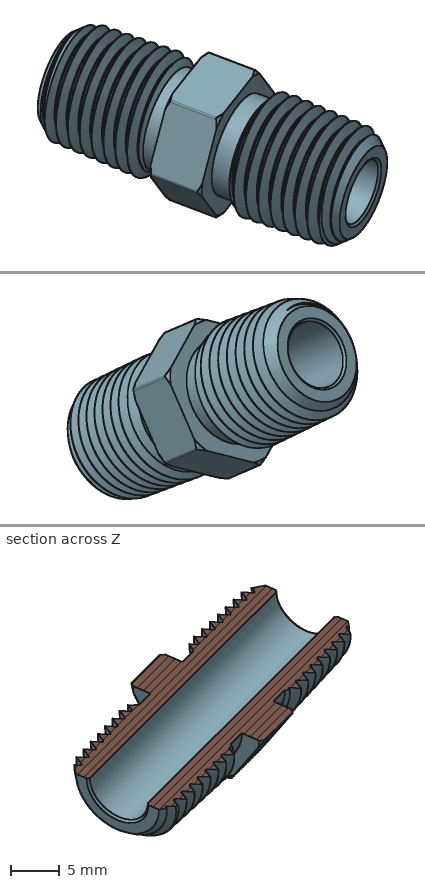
import cadquery as cq
import math

total_length = 35.3
half_length = total_length / 2
hex_width = 6.0
hex_across_flats = 14.2
hex_across_corners = 16.33
hex_sides = 6
neck_radius = 5.63
thread_start = 5.03

bore_radius = 3.55
bore_chamfer = 0.25

hex_face_radius = 7.72
hex_chamfer_slope = 1.35

inch = 25.4
threads_per_inch = 18
pitch = inch / threads_per_inch
diameter_taper = 1 / 16
radius_taper = diameter_taper / 2
apex_radius = 7.02
thread_depth = 1.05
crest_flat = 0.06
flank_angle = math.radians(30)

flank_overlap = 0.05
base_depth = 0.25

bottom_crest = 5.87
outer_turns = 9
ridge_turns = 11

tip_radius = 5.1
tip_slope = 0.85
runout_slope = 1.42


def crest_radius(distance):
    """Radius over the thread crests at a distance from the part's middle."""
    return apex_radius - radius_taper * distance


def revolve_about_x(profile):
    return profile.close().revolve(360, (0, 0, 0), (1, 0, 0))


def thread_core():
    """Cone at the thread roots, overrunning the thread at both ends."""
    outer_end = half_length + pitch
    inner_end = thread_start - pitch
    return revolve_about_x(
        cq.Workplane("XY")
        .moveTo(-outer_end, 0)
        .lineTo(-outer_end, crest_radius(outer_end) - thread_depth)
        .lineTo(-inner_end, crest_radius(inner_end) - thread_depth)
        .lineTo(-inner_end, 0)
    )


def thread_ridge():
    """Right-hand helical ridge whose base is sunk into the thread core."""
    start = bottom_crest + outer_turns * pitch
    outer_radius = crest_radius(start)
    flank_foot = outer_radius - thread_depth - flank_overlap
    base_radius = flank_foot - base_depth
    crest_half = crest_flat / 2
    base_half = crest_half + (outer_radius - flank_foot) * math.tan(flank_angle)
    helix = cq.Wire.makeHelix(
        pitch,
        ridge_turns * pitch,
        outer_radius,
        angle=math.degrees(math.atan(radius_taper)),
    )
    ridge = (
        cq.Workplane("XZ")
        .moveTo(base_radius, -base_half)
        .lineTo(flank_foot, -base_half)
        .lineTo(outer_radius, -crest_half)
        .lineTo(outer_radius, crest_half)
        .lineTo(flank_foot, base_half)
        .lineTo(base_radius, base_half)
        .close()
        .sweep(cq.Workplane(obj=helix), isFrenet=True)
    )
    return ridge.rotate((0, 0, 0), (0, 1, 0), 90).translate((-start, 0, 0))


def thread_envelope():
    """Double cone that trims the thread's ends square and chamfers them."""
    thread_length = half_length - thread_start
    radius_gain = neck_radius - tip_radius + runout_slope * thread_length
    tip_side = radius_gain / (tip_slope + runout_slope)
    return revolve_about_x(
        cq.Workplane("XY")
        .moveTo(-half_length, 0)
        .lineTo(-half_length, tip_radius)
        .lineTo(tip_side - half_length, tip_radius + tip_slope * tip_side)
        .lineTo(-thread_start, neck_radius)
        .lineTo(-thread_start, 0)
    )


def hex_body():
    """Hexagon with flats at +Z and -Z, rounded corners and chamfered ends."""
    corner_ratio = 1 / math.cos(math.pi / hex_sides)
    sharp_corners = hex_across_flats * corner_ratio
    corner_gap = (sharp_corners - hex_across_corners) / 2
    corner_fillet = corner_gap / (corner_ratio - 1)
    prism = (
        cq.Workplane("YZ")
        .polygon(hex_sides, sharp_corners)
        .extrude(hex_width / 2, both=True)
        .edges("|X")
        .fillet(corner_fillet)
    )
    half_width = hex_width / 2
    cone_radius = hex_face_radius + hex_chamfer_slope * half_width
    double_cone = revolve_about_x(
        cq.Workplane("XY")
        .moveTo(-half_width, 0)
        .lineTo(-half_width, hex_face_radius)
        .lineTo(0, cone_radius)
        .lineTo(half_width, hex_face_radius)
        .lineTo(half_width, 0)
    )
    return prism.intersect(double_cone)


def bore():
    """Through bore with a small chamfer at each end."""
    mouth_radius = bore_radius + bore_chamfer
    chamfer_end = half_length - bore_chamfer
    return revolve_about_x(
        cq.Workplane("XY")
        .moveTo(-half_length, 0)
        .lineTo(-half_length, mouth_radius)
        .lineTo(-chamfer_end, bore_radius)
        .lineTo(chamfer_end, bore_radius)
        .lineTo(half_length, mouth_radius)
        .lineTo(half_length, 0)
    )


left_thread = thread_core().union(thread_ridge()).intersect(thread_envelope())
right_thread = left_thread.rotate((0, 0, 0), (0, 1, 0), 180)
neck = cq.Workplane("YZ").circle(neck_radius).extrude(thread_start, both=True)

result = neck.union(hex_body()).union(left_thread).union(right_thread).cut(bore())